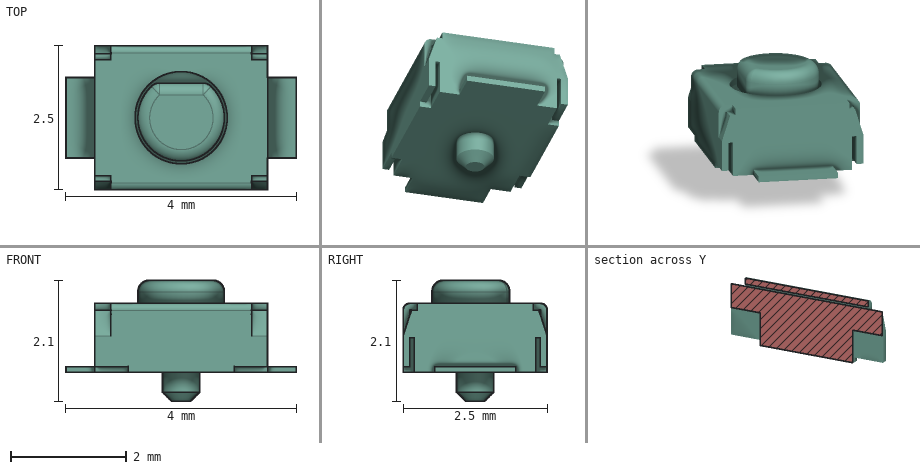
import cadquery as cq

body_length = 3.0
body_width = 2.5
body_height = 1.2
half_length = body_length / 2
half_width = body_width / 2

cover_thickness = 0.12
cover_underside = body_height - cover_thickness
cover_inner_y = half_width - cover_thickness
cover_radius = 0.12
notch_length = 0.28
notch_width = 0.245

slope_inset = 0.145
slope_bottom = 0.63
slope_top_y = half_width - slope_inset

panel_half_length = 0.92
panel_height = 0.6
base_step = 0.195
wall_bottom = 0.1

terminal_span = 4.0
terminal_width = 1.4
terminal_thickness = 0.1

button_diameter = 1.5
button_top = 1.6
button_flat_y = 0.6
button_rounding = 0.2
button_hole_diameter = 1.6

peg_diameter = 0.65
peg_length = 0.5
peg_chamfer = 0.16


def box(x_range, y_range, z_range):
    """Box spanning three (low, high) ranges."""
    size = [high - low for low, high in (x_range, y_range, z_range)]
    corner = (x_range[0], y_range[0], z_range[0])
    return cq.Workplane("XY").box(*size, centered=False).translate(corner)


def prism_along_x(points, x_start, length):
    """Extrude a (y, z) outline in the +X direction."""
    return cq.Workplane("YZ", origin=(x_start, 0, 0)).polyline(points).close().extrude(length)


def corner_cuts():
    """Material removed at the -X, +Y corner of the housing."""
    x_notch = (-half_length, -half_length + notch_length)
    top_notch = box(x_notch, (half_width - notch_width, half_width), (cover_underside, body_height))
    slope = prism_along_x(
        [(slope_top_y, cover_underside), (half_width, cover_underside), (half_width, slope_bottom)],
        -half_length,
        notch_length,
    )
    x_beside_panel = (-half_length, -panel_half_length)
    wall_gap = box(x_beside_panel, (half_width - base_step, cover_inner_y), (0, panel_height))
    below_wall = box(x_beside_panel, (half_width - base_step, half_width), (0, wall_bottom))
    return top_notch.union(slope).union(wall_gap).union(below_wall)


def slope_gap():
    """Thin triangular passage between the +Y cover wall and the sloped base edge."""
    slope_drop = cover_underside - slope_bottom
    gap_bottom = cover_underside - slope_drop * (slope_inset - cover_thickness) / slope_inset
    outline = [
        (slope_top_y, cover_underside),
        (cover_inner_y, cover_underside),
        (cover_inner_y, gap_bottom),
    ]
    return prism_along_x(outline, -half_length, body_length)


def make_housing():
    housing = cq.Workplane("XY").box(body_length, body_width, body_height, centered=(True, True, False))
    housing = housing.edges("|X and >Z").fillet(cover_radius)

    left_corner = corner_cuts()
    side_cuts = left_corner.union(left_corner.mirror("YZ")).union(slope_gap())
    housing = housing.cut(side_cuts).cut(side_cuts.mirror("XZ"))

    button_hole = (
        cq.Workplane("XY", origin=(0, 0, cover_underside))
        .circle(button_hole_diameter / 2)
        .extrude(cover_thickness)
    )
    return housing.cut(button_hole)


def make_button():
    radius = button_diameter / 2
    button = (
        cq.Workplane("XY", origin=(0, 0, cover_underside))
        .circle(radius)
        .extrude(button_top - cover_underside)
    )
    beyond_flat = box((-radius, radius), (button_flat_y, radius), (cover_underside, button_top))
    return button.cut(beyond_flat).edges("|Z or >Z").fillet(button_rounding)


def make_peg():
    peg = cq.Workplane("XY").circle(peg_diameter / 2).extrude(-peg_length)
    return peg.faces("<Z").chamfer(peg_chamfer)


terminals = cq.Workplane("XY").box(
    terminal_span, terminal_width, terminal_thickness, centered=(True, True, False)
)

result = make_housing().union(terminals).union(make_button()).union(make_peg())